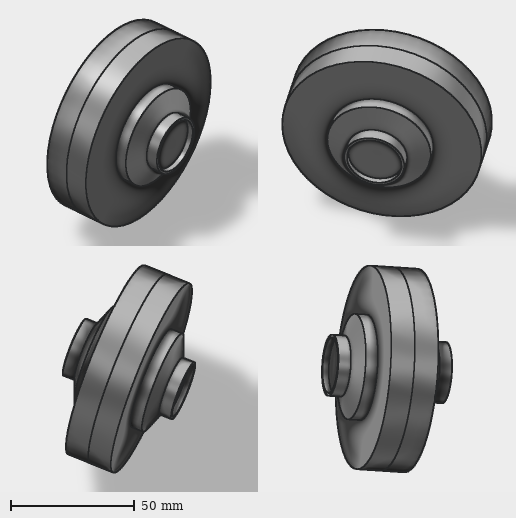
import cadquery as cq

flange_diameter = 83.0
hub_diameter = 43.0
spigot_diameter = 25.0
recess_diameter = 22.7

flange_thickness = 10.0
hub_end = 15.0
cone_end = 18.75
spigot_end = 24.0
recess_depth = 2.6


def flange_half(direction):
    """One stepped half; direction is -1 or +1 along X, starting at the joint face."""
    flange_radius = flange_diameter / 2
    hub_radius = hub_diameter / 2
    spigot_radius = spigot_diameter / 2
    recess_radius = recess_diameter / 2
    recess_floor = spigot_end - recess_depth

    section = [
        (0, 0),
        (0, flange_radius),
        (flange_thickness, flange_radius),
        (flange_thickness, hub_radius),
        (hub_end, hub_radius),
        (cone_end, spigot_radius),
        (spigot_end, spigot_radius),
        (spigot_end, recess_radius),
        (recess_floor, recess_radius),
        (recess_floor, 0),
    ]
    placed_section = [(direction * distance, radius) for distance, radius in section]
    return (
        cq.Workplane("XY")
        .polyline(placed_section)
        .close()
        .revolve(360, (0, 0, 0), (1, 0, 0))
    )


halves = [flange_half(direction) for direction in (-1, 1)]

result = cq.Compound.makeCompound([half.val() for half in halves])